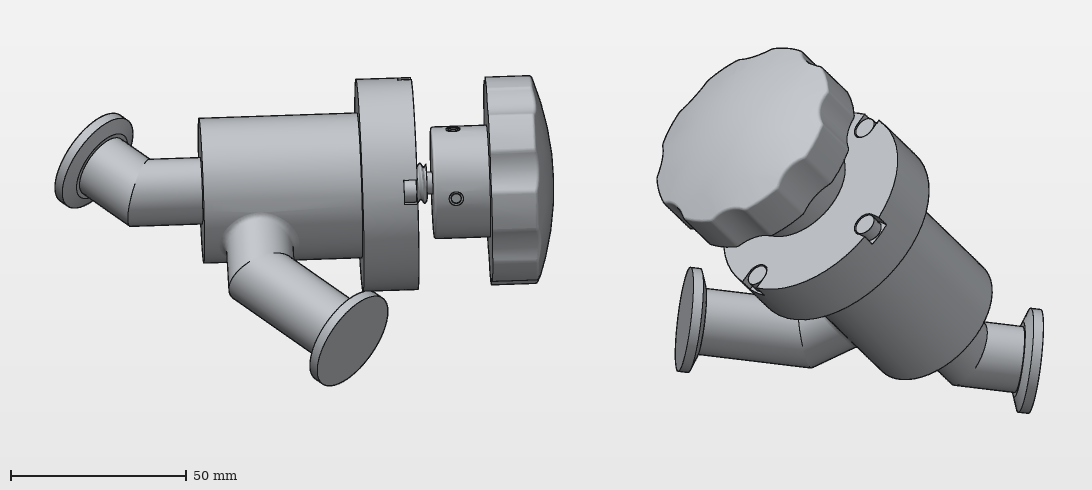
import cadquery as cq
import math


port_span = 101.5
pipe_dia = 19.0
ferrule_dia = 30.0
ferrule_rim = 2.9
ferrule_thickness = 4.5
ferrule_cone_dia = 21.6
stem_angle = 45
left_mitre_x = 19.3
right_mitre_x = 66.2

body_dia = 41.5
body_bottom = 17.5
weld_fillet = 1.9
flange_dia = 60.6
flange_bottom = 62.6
flange_thickness = 15.7
slot_count = 4
slot_start_angle = 45
slot_width = 7.0
slot_depth = 3.8
slot_centre_radius = 26.5
bolt_head_dia = 6.3
bolt_head_recess = 0.2

thread_dia = 11.5
thread_top = 81.8
thread_pitch = 2.2
thread_core_dia = 9.3
stem_root = 1.8
neck_dia = 6.3
neck_overlap = 1.2

hub_dia = 32.0
hub_bottom = 83.5
hub_fillet = 0.7
wheel_dia = 59.9
wheel_bottom = 99.4
wheel_top = 118.1
dome_radius = 82.6
scallop_count = 8
scallop_radius = 12.0
scallop_depth = 2.0
scallop_start_angle = 35.5
scallop_edge_fillet = 2.0
wheel_edge_fillet = 1.0
screw_dia = 4.1
screw_socket_dia = 2.9
screw_recess_depth = 0.2
screw_socket_depth = 0.7
screw_height = 89.7
screw_angles = (-32.3, 57.7)

flange_top = flange_bottom + flange_thickness
wheel_radius = wheel_dia / 2

leg_length = (right_mitre_x - left_mitre_x) / math.sqrt(2)

stem_plane = cq.Plane(origin=(left_mitre_x, 0, 0), xDir=(0, 0, 1), normal=(1, 1, 0))


def cylinder(diameter, bottom, top):
    """Cylinder along local Z between two heights."""
    return cq.Workplane("XY").workplane(offset=bottom).circle(diameter / 2).extrude(top - bottom)


def port_leg(length):
    """Ferrule and pipe along +X from the ferrule face, ending on the elbow mitre plane."""
    pipe_radius = pipe_dia / 2
    profile = [
        (0, 0),
        (0, ferrule_dia / 2),
        (ferrule_rim, ferrule_dia / 2),
        (ferrule_thickness, ferrule_cone_dia / 2),
        (ferrule_thickness, pipe_radius),
        (length + pipe_radius, pipe_radius),
        (length + pipe_radius, 0),
    ]
    leg = cq.Workplane("XY").polyline(profile).close().revolve(360, (0, 0), (1, 0))
    return leg.intersect(mitre_side(length))


def mitre_side(mitre_x):
    """Everything on the ferrule side of the mitre plane through (mitre_x, 0)."""
    reach = port_span
    lean = reach * math.tan(math.radians(stem_angle / 2))
    outline = [
        (-reach, -reach),
        (mitre_x + lean, -reach),
        (mitre_x - lean, reach),
        (-reach, reach),
    ]
    return cq.Workplane("XY").polyline(outline).close().extrude(reach, both=True)


def inlet_leg():
    """Sloping pipe from the left mitre into the body, already in global position."""
    pipe = on_stem(cylinder(pipe_dia, -pipe_dia, body_bottom))
    return pipe.cut(mitre_side(left_mitre_x))


def body_with_branch():
    """Body cylinder with the right branch welded into its side."""
    body = cylinder(body_dia, body_bottom, flange_bottom)
    branch = (
        cq.Workplane("XZ")
        .center(0, leg_length)
        .circle(pipe_dia / 2)
        .extrude(-(leg_length + pipe_dia))
    )
    saddle_point = (pipe_dia / 2, body_dia / 2, leg_length)
    joined = body.union(branch)
    return joined.edges(cq.NearestToPointSelector(saddle_point)).fillet(weld_fillet)


def flange():
    """Disc with open-ended rim slots, a bolt head standing in each."""
    disc = cylinder(flange_dia, flange_bottom, flange_top)
    slot_length = flange_dia / 2
    slot = (
        cq.Workplane("XY")
        .workplane(offset=flange_top - slot_depth)
        .center(slot_centre_radius + slot_length / 2, 0)
        .slot2D(slot_length + slot_width, slot_width)
        .extrude(slot_depth)
    )
    bolt_head = cylinder(bolt_head_dia, flange_top - slot_depth, flange_top - bolt_head_recess)
    slot = slot.cut(bolt_head.translate((slot_centre_radius, 0, 0)))
    for index in range(slot_count):
        angle = slot_start_angle + index * 360 / slot_count
        disc = disc.cut(slot.rotate((0, 0, 0), (0, 0, 1), angle))
    return disc


def stem():
    """Rod with a rounded single-start thread, and the plain neck that enters the hub."""
    bottom = flange_top - stem_root
    length = thread_top - bottom
    offset = (thread_dia - thread_core_dia) / 4
    rod = (
        cq.Workplane("XY")
        .workplane(offset=bottom)
        .moveTo(0, offset)
        .circle((thread_dia + thread_core_dia) / 4)
        .twistExtrude(length, 360 * length / thread_pitch)
    )
    return rod.union(cylinder(neck_dia, bottom, hub_bottom + neck_overlap))


def handwheel():
    """Domed wheel with scalloped grip, and its hub."""
    wheel = cylinder(wheel_dia, wheel_bottom, wheel_top)
    scallop_centre = wheel_radius - scallop_depth + scallop_radius
    scallop = cylinder(2 * scallop_radius, wheel_bottom, wheel_top).translate((scallop_centre, 0, 0))
    for index in range(scallop_count):
        angle = scallop_start_angle + index * 360 / scallop_count
        wheel = wheel.cut(scallop.rotate((0, 0, 0), (0, 0, 1), angle))
    wheel = wheel.edges("|Z").fillet(scallop_edge_fillet)
    dome = cq.Workplane("XY").sphere(dome_radius).translate((0, 0, wheel_top - dome_radius))
    wheel = wheel.intersect(dome)
    wheel = wheel.faces(">Z").edges().fillet(wheel_edge_fillet)

    hub = cylinder(hub_dia, hub_bottom, wheel_bottom).faces("<Z").edges().fillet(hub_fillet)
    for angle in screw_angles:
        hub = hub.cut(screw_hole(angle))
    return wheel.union(hub)


def screw_hole(angle):
    """Radial set screw recess in the hub with a smaller socket at its floor."""
    face = cq.Workplane("YZ").workplane(offset=hub_dia / 2).center(0, screw_height)
    recess = face.circle(screw_dia / 2).extrude(-screw_recess_depth)
    socket = face.circle(screw_socket_dia / 2).extrude(-screw_socket_depth)
    return recess.union(socket).rotate((0, 0, 0), (0, 0, 1), angle)


def on_stem(shape):
    """Move a shape from the stem frame to its global position."""
    return cq.Workplane(shape.val().moved(stem_plane.location))


def at_right_end(shape):
    """Mirror a shape built for the left port to the right end of the valve."""
    return shape.mirror("YZ").translate((port_span, 0, 0))


left_port = port_leg(left_mitre_x)
right_length = port_span - right_mitre_x
right_port = at_right_end(port_leg(right_length))
right_mitre_cut = at_right_end(mitre_side(right_length))

result = (
    on_stem(body_with_branch())
    .cut(right_mitre_cut)
    .union(inlet_leg())
    .union(left_port)
    .union(right_port)
    .union(on_stem(flange().union(stem())))
    .union(on_stem(handwheel()))
)